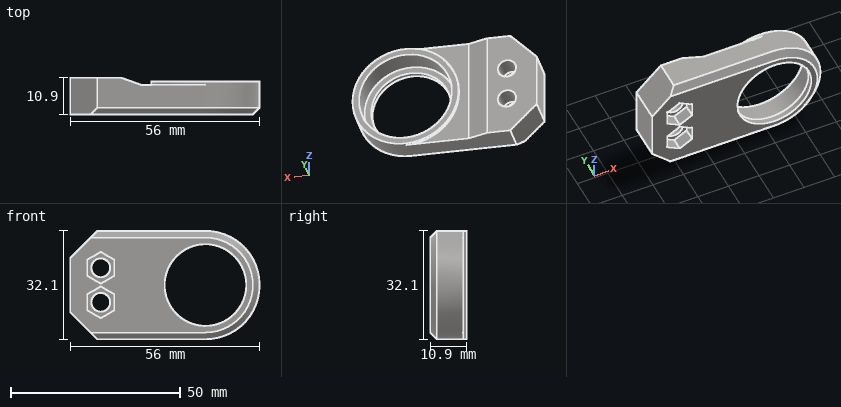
import cadquery as cq
import math

length = 56.05
width = 32.1
block_depth = 10.95
plate_depth = 8.8
ring_depth = 9.8
slope_start = 15.0
slope_end = 21.0
corner_cut = 8.0
edge_chamfer = 2.0
bore_diameter = 24.1
recess_diameter = 28.1
lip_depth = 2.0
bolt_diameter = 5.5
bolt_x = 9.0
bolt_spacing = 10.2
nut_flats = 8.1
nut_depth = 3.8

outer_radius = width / 2
ring_x = length - outer_radius


def cylinder(x, z, diameter, start, end):
    """Cylinder along Y between two depths."""
    plane = cq.Workplane("XZ", origin=(x, start, z))
    return plane.circle(diameter / 2).extrude(start - end)


outline = (
    cq.Workplane("XZ")
    .moveTo(0, -outer_radius)
    .lineTo(ring_x, -outer_radius)
    .threePointArc((length, 0), (ring_x, outer_radius))
    .lineTo(0, outer_radius)
    .close()
)
body = outline.extrude(-block_depth)

body = body.faces("<Y").edges("not(<X)").chamfer(edge_chamfer)

for side in (-1, 1):
    corner = (
        cq.Workplane("XZ")
        .polyline([
            (0, side * outer_radius),
            (corner_cut, side * outer_radius),
            (0, side * (outer_radius - corner_cut)),
        ])
        .close()
        .extrude(-block_depth)
    )
    body = body.cut(corner)

back_step = (
    cq.Workplane("XY", origin=(0, 0, -outer_radius))
    .polyline([
        (slope_start, block_depth),
        (slope_end, plate_depth),
        (length, plate_depth),
        (length, block_depth),
    ])
    .close()
    .extrude(width)
)
body = body.cut(back_step)
body = body.union(cylinder(ring_x, 0, width, edge_chamfer, ring_depth))

body = body.cut(cylinder(ring_x, 0, bore_diameter, 0, ring_depth))
body = body.cut(cylinder(ring_x, 0, recess_diameter, lip_depth, ring_depth))

nut_corners = nut_flats / math.cos(math.pi / 6)
for bolt_z in (-bolt_spacing / 2, bolt_spacing / 2):
    body = body.cut(cylinder(bolt_x, bolt_z, bolt_diameter, 0, block_depth))
    pocket = (
        cq.Workplane("XZ", origin=(bolt_x, 0, bolt_z))
        .polygon(6, nut_corners)
        .extrude(-nut_depth)
        .rotate((bolt_x, 0, bolt_z), (bolt_x, 1, bolt_z), 90)
    )
    body = body.cut(pocket)

result = body